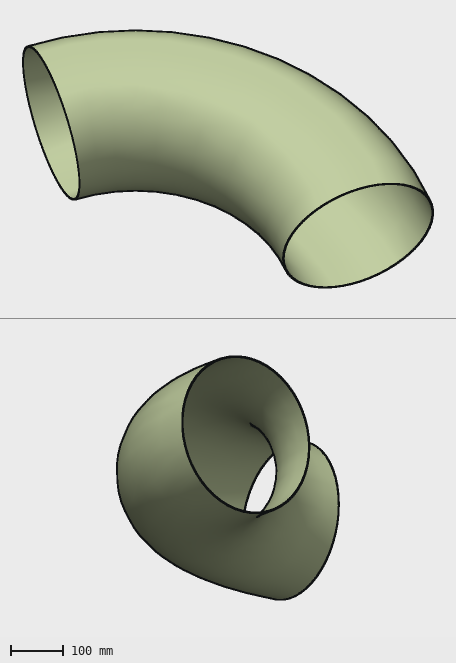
import cadquery as cq

outer_diameter = 304.0
wall = 2.0
overall_length = 602.0
bend_angle = 90.0

outer_radius = outer_diameter / 2
inner_radius = outer_radius - wall
bend_radius = overall_length - outer_radius

mouth_section = cq.Workplane("XZ").circle(outer_radius).circle(inner_radius)

axis_start = (bend_radius, 6)
axis_end = (bend_radius, -6)

result = mouth_section.revolve(bend_angle, axis_start, axis_end)